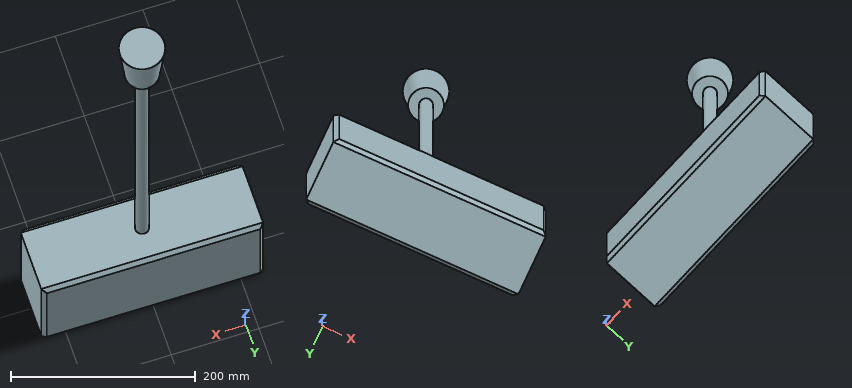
import cadquery as cq

total_height = 587.0
box_width = 253.0
box_depth = 80.0
box_height = 122.5
edge_chamfer = 4.5

rod_diameter = 15.0
cap_height = 64.5
cap_top_diameter = 50.5
cap_bottom_diameter = 39.0

cap_bottom = total_height - cap_height


def make_box():
    """Box standing on Z = 0, with the rims of its two large faces chamfered."""
    box = cq.Workplane("XY").box(box_width, box_depth, box_height, centered=(True, True, False))
    return box.faces("<Y or >Y").edges().chamfer(edge_chamfer)


def make_rod():
    """Round rod from the top of the box to the underside of the cap."""
    rod = cq.Workplane("XY").workplane(offset=box_height).circle(rod_diameter / 2)
    return rod.extrude(cap_bottom - box_height)


def make_cap():
    """Cone frustum that widens upwards."""
    lower = cq.Workplane("XY").workplane(offset=cap_bottom).circle(cap_bottom_diameter / 2)
    return lower.workplane(offset=cap_height).circle(cap_top_diameter / 2).loft(ruled=True)


result = make_box().union(make_rod()).union(make_cap())